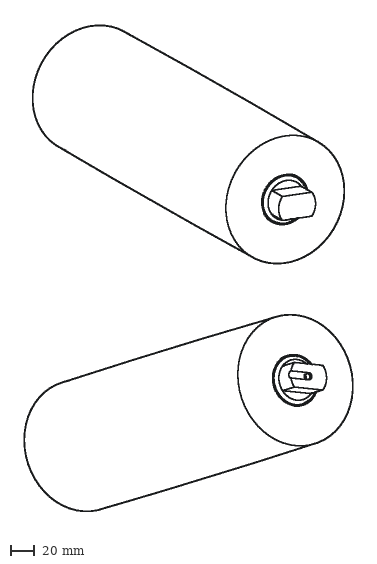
import cadquery as cq

shaft_length = 407.0
shaft_diameter = 35.0
shaft_flat_height = 21.0

drum_length = 362.2
drum_end_diameter = 112.5
drum_crown_diameter = 113.5
crown_length = 122.0
end_band_length = 11.5

collar_diameter = 42.0
collar_length = 2.5
collar_gap_diameter = 44.0
collar_gap_depth = 2.5

cable_bore_diameter = 5.0
cable_bore_depth = 8.0
cable_channel_diameter = 6.0

cross_section_plane = "YZ"


def crowned_drum():
    """Drum with a cylindrical crown, tapering shoulders and cylindrical end bands."""
    end = drum_length / 2
    band = end - end_band_length
    crown = crown_length / 2
    end_radius = drum_end_diameter / 2
    crown_radius = drum_crown_diameter / 2
    profile = (
        cq.Workplane("XY")
        .moveTo(-end, 0)
        .lineTo(-end, end_radius)
        .lineTo(-band, end_radius)
        .lineTo(-crown, crown_radius)
        .lineTo(crown, crown_radius)
        .lineTo(band, end_radius)
        .lineTo(end, end_radius)
        .lineTo(end, 0)
        .close()
    )
    return profile.revolve(360, (0, 0, 0), (1, 0, 0))


def flatted_shaft():
    """Round shaft along X with a flat above and a flat below."""
    rod = cq.Workplane(cross_section_plane).circle(shaft_diameter / 2).extrude(shaft_length / 2, both=True)
    flat_limits = cq.Workplane("XY").box(shaft_length, shaft_diameter, shaft_flat_height)
    return rod.intersect(flat_limits)


def seal_collar(side):
    """Conical collar tip standing out of the drum face (side -1 or +1) and narrowing to the shaft."""
    face = side * drum_length / 2
    tip = face + side * collar_length
    profile = (
        cq.Workplane("XY")
        .moveTo(face, 0)
        .lineTo(face, collar_diameter / 2)
        .lineTo(tip, shaft_diameter / 2)
        .lineTo(tip, 0)
        .close()
    )
    return profile.revolve(360, (0, 0, 0), (1, 0, 0))


def collar_gap(side):
    """Narrow ring groove in the drum face just outside the collar."""
    face = side * drum_length / 2
    return (
        cq.Workplane(cross_section_plane, origin=(face, 0, 0))
        .circle(collar_gap_diameter / 2)
        .circle(collar_diameter / 2)
        .extrude(-side * collar_gap_depth)
    )


def cable_entry():
    """Half-round channel from the centre of the -X shaft end out through the +Y side, with an axial bore."""
    end = -shaft_length / 2
    radius = cable_channel_diameter / 2
    channel = cq.Workplane("XZ", origin=(end, 0, 0)).circle(radius).extrude(-shaft_diameter)
    channel_end = cq.Workplane("XY").sphere(radius).translate((end, 0, 0))
    bore = (
        cq.Workplane(cross_section_plane, origin=(end, 0, 0))
        .circle(cable_bore_diameter / 2)
        .extrude(cable_bore_depth)
    )
    return channel.union(channel_end).union(bore)


result = crowned_drum().union(flatted_shaft())
for side in (-1, 1):
    result = result.union(seal_collar(side)).cut(collar_gap(side))
result = result.cut(cable_entry())